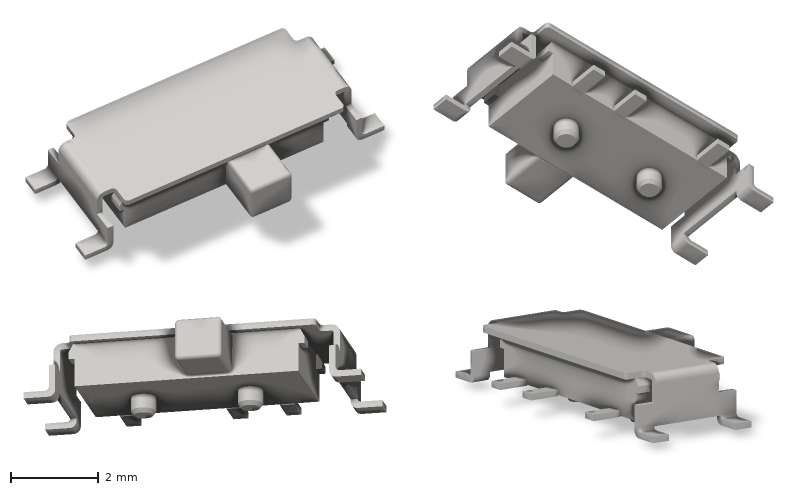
import cadquery as cq
import math

housing_height = 1.02
sheet = 0.15
cover_top = housing_height + sheet

housing_centre_x = 0.055
housing_centre_y = -0.175
housing_width = 2.275
housing_length = 5.26
housing_left = housing_centre_x - housing_width / 2
housing_right = housing_centre_x + housing_width / 2

hook_reach = 0.14
hook_bottom = 0.67
hook_slope_start = 0.83
hook_slope_run = 0.1

stake_width = 0.37
stake_length = 0.18
stake_spacing_x = housing_width - stake_width
stake_spacing_y = 5.035

post_diameter = 0.59
post_length = 0.43
post_spacing = 2.51
post_chamfer_height = 0.095
post_chamfer_width = 0.07

terminal_tip_x = -1.83
terminal_width = 0.35
terminal_bottom = -0.02
terminal_pitch = 1.25
last_terminal_y = -2.06
terminal_steps = (0, 2, 3)

knob_end_x = 2.45
knob_start_x = 1.28
knob_centre_y = 0.365
knob_width = 1.095
knob_bottom = 0.05
knob_rounding = 0.095
knob_end_rounding = 0.08
neck_bottom = 0.69

plate_width = 2.8
plate_length = 5.805
plate_corner_radius = 0.095
tongue_width = 1.77
tongue_root_radius = 0.095
selection_margin = 0.01
end_wall_y = 3.37
bend_outer_radius = 0.21
bend_inner_radius = bend_outer_radius - sheet
shoulder_width = 2.75
shoulder_z = 0.5
wall_bottom = -0.05
foot_tip_y = 3.965
foot_bottom = -0.27
foot_width = 0.445
foot_outer_radius = 0.17
foot_inner_radius = 0.095


def box(x_min, x_max, y_min, y_max, z_min, z_max):
    """Axis-aligned block between the given limits."""
    size = (x_max - x_min, y_max - y_min, z_max - z_min)
    return cq.Workplane("XY").box(*size, centered=False).translate((x_min, y_min, z_min))


def make_block():
    """Plain rectangular core of the housing."""
    return (
        cq.Workplane("XY", origin=(housing_centre_x, housing_centre_y, 0))
        .rect(housing_width, housing_length)
        .extrude(housing_height)
    )


def make_hooks():
    """Four wedge hooks at the ends of the short housing faces, in line with the stakes."""
    half = housing_length / 2
    tip = half + hook_reach
    right_side = [
        (half, hook_bottom),
        (tip, hook_bottom),
        (tip, hook_slope_start),
        (tip - hook_slope_run, housing_height),
    ]
    left_side = [(-y, z) for y, z in reversed(right_side)]
    return (
        cq.Workplane("YZ", origin=(housing_centre_x, housing_centre_y, 0))
        .polyline(right_side + left_side)
        .close()
        .extrude(housing_width / 2, both=True)
        .cut(
            box(
                housing_left + stake_width,
                housing_right - stake_width,
                housing_centre_y - tip,
                housing_centre_y + tip,
                hook_bottom,
                housing_height,
            )
        )
    )


def make_stakes():
    """Four rectangular stakes that fill the slots of the cover."""
    return (
        cq.Workplane("XY", origin=(housing_centre_x, housing_centre_y, housing_height))
        .rarray(stake_spacing_x, stake_spacing_y, 2, 2)
        .rect(stake_width, stake_length)
        .extrude(sheet)
    )


def make_post(y):
    """Round locating post with a chamfered tip."""
    radius = post_diameter / 2
    tip_radius = radius - post_chamfer_width
    half_section = [
        (0, 0),
        (radius, 0),
        (radius, post_chamfer_height - post_length),
        (tip_radius, -post_length),
        (0, -post_length),
    ]
    post = cq.Workplane("XZ").polyline(half_section).close().revolve(360, (0, 0), (0, 1))
    return post.translate((housing_centre_x, y, 0))


def make_terminal(y):
    """Flat contact terminal on the long face opposite the knob."""
    half = terminal_width / 2
    return box(terminal_tip_x, housing_left, y - half, y + half, terminal_bottom, terminal_bottom + sheet)


def make_knob():
    """Rounded knob with a neck that joins it to the housing."""
    y_min = knob_centre_y - knob_width / 2
    y_max = knob_centre_y + knob_width / 2
    knob = box(housing_right, knob_end_x, y_min, y_max, knob_bottom, housing_height)
    knob = knob.edges("|X").fillet(knob_rounding).faces(">X").edges().fillet(knob_end_rounding)
    return knob.cut(box(housing_right, knob_start_x, y_min, y_max, knob_bottom, neck_bottom))


def make_housing():
    """Moulded housing with its hooks, stakes, posts, terminals and knob."""
    housing = make_block().union(make_hooks()).union(make_stakes()).union(make_knob())
    for side in (-1, 1):
        housing = housing.union(make_post(housing_centre_y + side * post_spacing / 2))
    for step in terminal_steps:
        housing = housing.union(make_terminal(last_terminal_y + step * terminal_pitch))
    return housing


def make_plate():
    """Flat top of the cover, with a narrower tongue at each end."""
    straight_end = end_wall_y - bend_outer_radius
    plate = (
        cq.Workplane("XY", origin=(0, 0, housing_height))
        .rect(plate_width, plate_length)
        .extrude(sheet)
        .edges("|Z")
        .fillet(plate_corner_radius)
    )
    half_tongue = tongue_width / 2
    plate = plate.union(
        box(-half_tongue, half_tongue, -straight_end, straight_end, housing_height, cover_top)
    )
    root_x = half_tongue + selection_margin
    root_y = plate_length / 2 + selection_margin
    roots = cq.selectors.BoxSelector((-root_x, -root_y, housing_height), (root_x, root_y, cover_top))
    return plate.edges("|Z").edges(roots).fillet(tongue_root_radius)


def make_end_wall():
    """Bent end of the cover at +Y: bend, wall with shoulders, and two feet."""
    diagonal = math.sqrt(0.5)
    inner_y = end_wall_y - sheet
    bend_y = end_wall_y - bend_outer_radius
    bend_z = cover_top - bend_outer_radius
    foot_top = foot_bottom + sheet
    heel_y = inner_y + foot_outer_radius
    heel_z = foot_bottom + foot_outer_radius
    toe_y = end_wall_y + foot_inner_radius
    toe_z = foot_top + foot_inner_radius

    def on_arc(y, z, radius, y_side, z_side):
        return (y + y_side * radius * diagonal, z + z_side * radius * diagonal)

    bent_strip = (
        cq.Workplane("YZ")
        .moveTo(bend_y, cover_top)
        .threePointArc(on_arc(bend_y, bend_z, bend_outer_radius, 1, 1), (end_wall_y, bend_z))
        .lineTo(end_wall_y, toe_z)
        .threePointArc(on_arc(toe_y, toe_z, foot_inner_radius, -1, -1), (toe_y, foot_top))
        .lineTo(foot_tip_y, foot_top)
        .lineTo(foot_tip_y, foot_bottom)
        .lineTo(heel_y, foot_bottom)
        .threePointArc(on_arc(heel_y, heel_z, foot_outer_radius, -1, -1), (inner_y, heel_z))
        .lineTo(inner_y, bend_z)
        .threePointArc(on_arc(bend_y, bend_z, bend_inner_radius, 1, 1), (bend_y, housing_height))
        .close()
        .extrude(shoulder_width / 2, both=True)
    )
    half_tongue = tongue_width / 2
    half_shoulder = shoulder_width / 2
    half_gap = half_shoulder - foot_width
    right_side = [
        (half_tongue, cover_top),
        (half_tongue, shoulder_z),
        (half_shoulder, shoulder_z),
        (half_shoulder, foot_bottom),
        (half_gap, foot_bottom),
        (half_gap, toe_z),
    ]
    left_side = [(-x, z) for x, z in reversed(right_side)]
    wall_outline = cq.Workplane("XZ").polyline(right_side + left_side).close().extrude(-foot_tip_y)
    lower_edge = box(-half_gap, half_gap, inner_y, end_wall_y, wall_bottom, toe_z)
    return bent_strip.intersect(wall_outline).union(lower_edge)


def make_cover():
    """Sheet metal cover whose slots fit the stakes of the housing."""
    end_wall = make_end_wall()
    cover = make_plate().union(end_wall).union(end_wall.mirror("XZ"))
    return cover.cut(make_stakes())


housing = make_housing()
cover = make_cover()

result = cq.Compound.makeCompound([housing.val(), cover.val()])